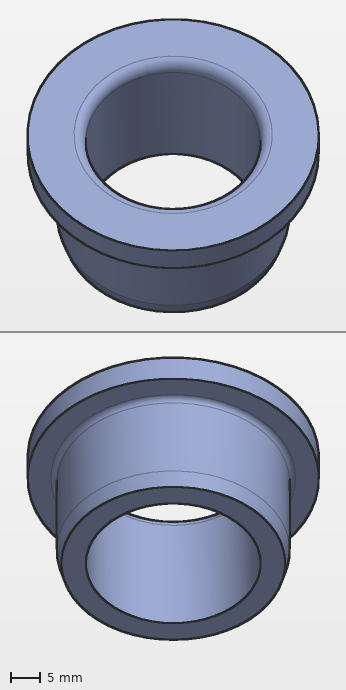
import cadquery as cq
import math

flange_diameter = 50
flange_thickness = 5
body_diameter = 40
bore_diameter = 30
total_height = 25
bore_entry_radius = 2
neck_fillet_radius = 1
lead_in_height = 3
lead_in_angle = 15

flange_radius = flange_diameter / 2
body_radius = body_diameter / 2
bore_radius = bore_diameter / 2
flange_underside = total_height - flange_thickness
tip_radius = body_radius - lead_in_height * math.tan(math.radians(lead_in_angle))

section = (
    cq.Workplane("XZ")
    .moveTo(bore_radius, 0)
    .lineTo(tip_radius, 0)
    .lineTo(body_radius, lead_in_height)
    .lineTo(body_radius, flange_underside - neck_fillet_radius)
    .radiusArc((body_radius + neck_fillet_radius, flange_underside), neck_fillet_radius)
    .lineTo(flange_radius, flange_underside)
    .lineTo(flange_radius, total_height)
    .lineTo(bore_radius + bore_entry_radius, total_height)
    .radiusArc((bore_radius, total_height - bore_entry_radius), -bore_entry_radius)
    .close()
)

result = section.revolve(360, (0, 0, 0), (0, 1, 0))